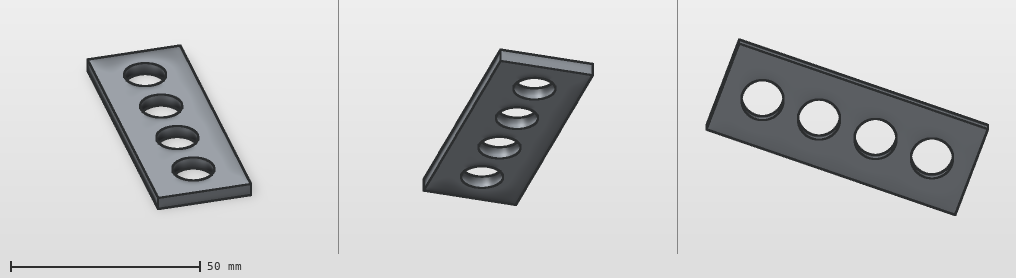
import cadquery as cq

length = 69.85
width = 25.4
thickness = 3.5

hole_count = 4
hole_diameter = 11.1
hole_pitch = 15.85

plate = cq.Workplane("XY").box(length, width, thickness)

result = (
    plate.faces(">Z")
    .workplane()
    .rarray(hole_pitch, width, hole_count, 1)
    .hole(hole_diameter)
)